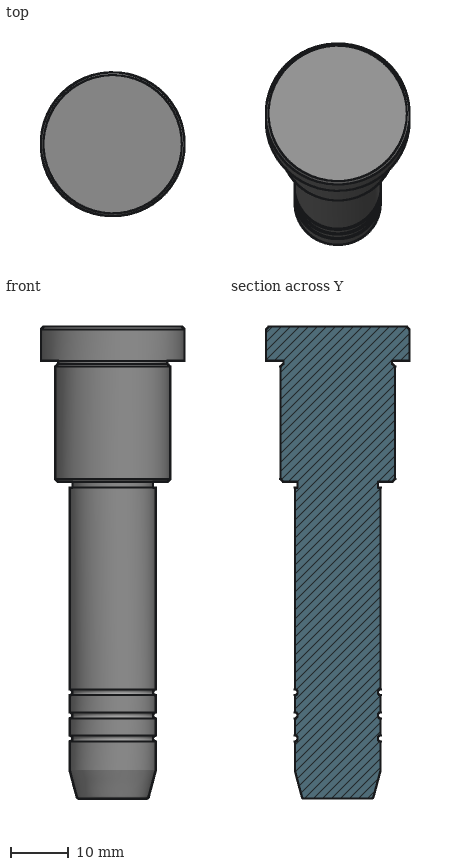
import cadquery as cq
import math

total_length = 82.0
head_diameter = 25.0
head_height = 6.0
body_diameter = 20.0
body_length = 21.0
shaft_diameter = 15.0

edge_break = 0.5
relief_depth = 0.5
shaft_relief_height = 2 * relief_depth

tip_height = 5.0
tip_angle = 15.0

groove_count = 3
groove_radius = 0.5
groove_width = 2 * groove_radius
groove_land = 3 * groove_width
groove_pitch = groove_width + groove_land
lowest_groove_z = 10.5

head_radius = head_diameter / 2
body_radius = body_diameter / 2
shaft_radius = shaft_diameter / 2
tip_radius = shaft_radius - tip_height * math.tan(math.radians(tip_angle))
head_bottom_z = total_length - head_height
body_bottom_z = head_bottom_z - body_length


def cylinder(radius, bottom_z, top_z):
    """Solid cylinder on the Z axis between two heights."""
    return cq.Workplane("XY").workplane(offset=bottom_z).circle(radius).extrude(top_z - bottom_z)


def make_head():
    return cylinder(head_radius, head_bottom_z, total_length).faces(">Z").edges().chamfer(edge_break)


def make_body():
    """Fitting body, chamfered at both ends, with a short neck below the head."""
    neck = cylinder(body_radius - relief_depth, body_bottom_z + edge_break, head_bottom_z)
    body = cylinder(body_radius, body_bottom_z, head_bottom_z - relief_depth)
    return body.edges("%CIRCLE").chamfer(edge_break).union(neck)


def make_shaft():
    """Shaft with a relief under the body and a tapered, rounded tip."""
    relief = cylinder(shaft_radius - relief_depth, tip_height, body_bottom_z)
    shaft = cylinder(shaft_radius, tip_height, body_bottom_z - shaft_relief_height)
    tip = (
        cq.Workplane("XZ")
        .polyline([(0, 0), (tip_radius, 0), (shaft_radius, tip_height), (0, tip_height)])
        .close()
        .revolve(360, (0, 0), (0, 1))
        .faces("<Z")
        .edges()
        .fillet(edge_break)
    )
    return shaft.union(relief).union(tip)


def make_groove(center_z):
    """Torus whose inner half cuts one half-round groove."""
    return (
        cq.Workplane("XZ")
        .center(shaft_radius, center_z)
        .circle(groove_radius)
        .revolve(360, (-shaft_radius, 0), (-shaft_radius, 1))
    )


result = make_head().union(make_body()).union(make_shaft())
for index in range(groove_count):
    result = result.cut(make_groove(lowest_groove_z + index * groove_pitch))